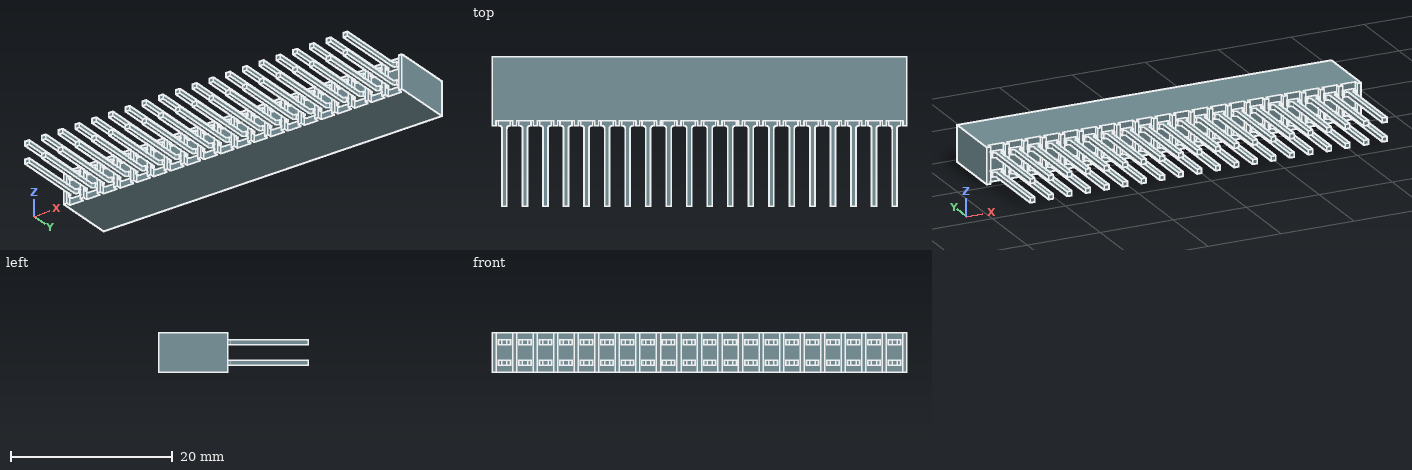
import cadquery as cq

length = 51.3
total_depth = 18.5
height = 4.95
housing_depth = 8.55

contacts_per_row = 20
rib_width = 0.5
slot_width = (length - (contacts_per_row + 1) * rib_width) / contacts_per_row
slot_depth = 0.6
pitch = slot_width + rib_width

row_spacing = pitch
pin_size = pitch / 4
shoulder_width = 1.55
shoulder_radius = 0.3

tip_y = -total_depth / 2
back_y = total_depth / 2
front_y = back_y - housing_depth
floor_y = front_y + slot_depth

contact_xs = [(index - (contacts_per_row - 1) / 2) * pitch for index in range(contacts_per_row)]


def block(x_size, y_min, y_max, z_size):
    """Block centred on X and Z that spans y_min to y_max."""
    y_center = (y_min + y_max) / 2
    return cq.Workplane("XY").box(x_size, y_max - y_min, z_size).translate((0, y_center, 0))


def slotted_housing():
    """Rectangular housing with full-height slots cut into its front face."""
    housing = block(length, front_y, back_y, height)
    slot = block(slot_width, front_y, floor_y, height)
    for x in contact_xs:
        housing = housing.cut(slot.translate((x, 0, 0)))
    return housing


def contact():
    """One pin, widening through concave fillets into a shoulder that fills the slot depth."""
    half_pin = pin_size / 2
    half_shoulder = shoulder_width / 2
    fillet_x = half_pin + shoulder_radius
    fillet_y = front_y - shoulder_radius
    return (
        cq.Workplane("XY")
        .moveTo(-half_pin, tip_y)
        .lineTo(half_pin, tip_y)
        .lineTo(half_pin, fillet_y)
        .radiusArc((fillet_x, front_y), shoulder_radius)
        .lineTo(half_shoulder, front_y)
        .lineTo(half_shoulder, floor_y)
        .lineTo(-half_shoulder, floor_y)
        .lineTo(-half_shoulder, front_y)
        .lineTo(-fillet_x, front_y)
        .radiusArc((-half_pin, fillet_y), shoulder_radius)
        .close()
        .extrude(pin_size / 2, both=True)
    )


pin = contact().val()
pins = [
    pin.translate(cq.Vector(x, 0, z))
    for x in contact_xs
    for z in (-row_spacing / 2, row_spacing / 2)
]

result = cq.Workplane(slotted_housing().val().fuse(*pins))